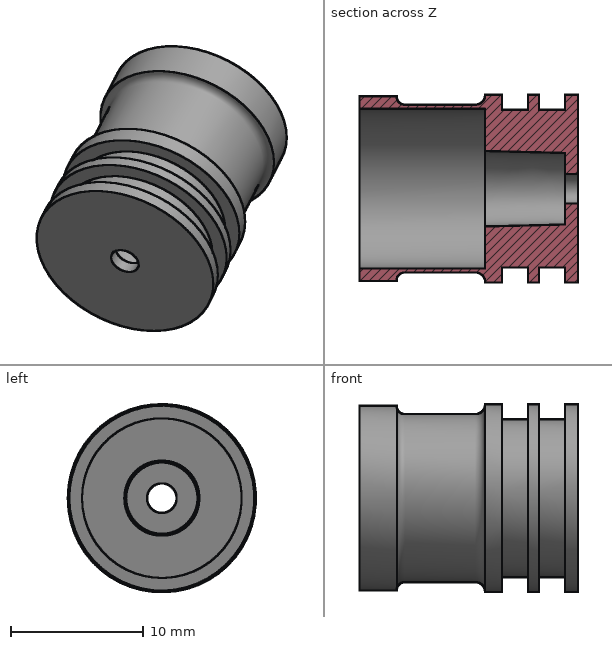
import cadquery as cq

length = 16.55
collar_radius = 7.0
flange_diameter = 14.25
flange_radius = flange_diameter / 2
neck_radius = 6.37
groove_radius = 5.99

collar_width = 2.83
front_fillet = 0.6
rear_fillet = 0.71
front_flange_start = 9.5
front_flange_end = 10.8
groove_width = 1.94
groove_clearance = 0.17
middle_flange_width = 0.86
end_flange_width = length - front_flange_end - 2 * groove_width - middle_flange_width

bore_radius = 6.04
bore_depth = front_flange_start
recess_mouth_radius = 2.85
recess_floor_radius = 2.7
end_wall = end_flange_width
hole_radius = 1.11


def outer_body():
    """Spool outline with concave fillets at both ends of the neck, revolved about X."""
    front_fillet_end = collar_width + front_fillet
    rear_fillet_start = front_flange_start - rear_fillet
    profile = (
        cq.Workplane("XY")
        .moveTo(0, 0)
        .lineTo(0, collar_radius)
        .lineTo(collar_width, collar_radius)
        .lineTo(collar_width, neck_radius + front_fillet)
        .radiusArc((front_fillet_end, neck_radius), -front_fillet)
        .lineTo(rear_fillet_start, neck_radius)
        .radiusArc((front_flange_start, neck_radius + rear_fillet), -rear_fillet)
        .lineTo(front_flange_start, flange_radius)
        .lineTo(length, flange_radius)
        .lineTo(length, 0)
        .close()
    )
    return profile.revolve(360, (0, 0, 0), (1, 0, 0))


def ring_groove(start):
    """Ring of material to remove between two flanges."""
    return (
        cq.Workplane("YZ", origin=(start, 0, 0))
        .circle(flange_radius + groove_clearance)
        .circle(groove_radius)
        .extrude(groove_width)
    )


def cavity():
    """Stepped cavity from the open end through the end wall."""
    recess_end = length - end_wall
    return (
        cq.Workplane("XY")
        .moveTo(0, 0)
        .lineTo(0, bore_radius)
        .lineTo(bore_depth, bore_radius)
        .lineTo(bore_depth, recess_mouth_radius)
        .lineTo(recess_end, recess_floor_radius)
        .lineTo(recess_end, hole_radius)
        .lineTo(length, hole_radius)
        .lineTo(length, 0)
        .close()
        .revolve(360, (0, 0, 0), (1, 0, 0))
    )


second_groove_start = front_flange_end + groove_width + middle_flange_width

result = outer_body()
for groove_start in (front_flange_end, second_groove_start):
    result = result.cut(ring_groove(groove_start))
result = result.cut(cavity())